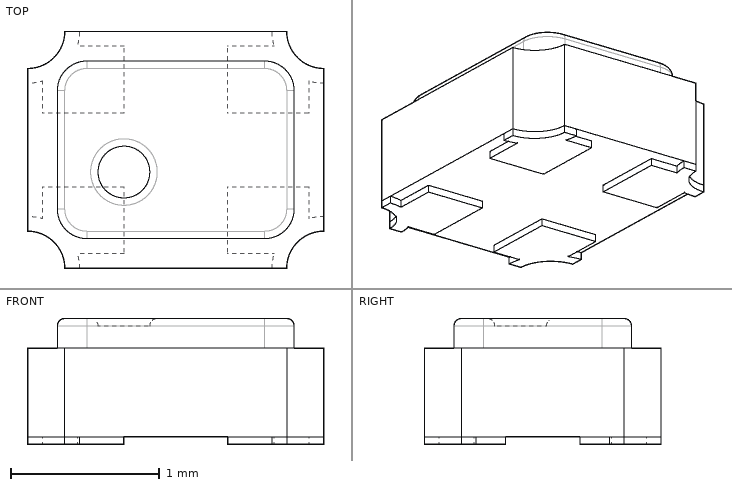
import cadquery as cq

housing_length = 2.0
housing_width = 1.6
housing_height = 0.6
notch_radius = 0.25

lid_margin = 0.2
lid_height = 0.2
lid_corner_radius = 0.2
lid_edge_radius = 0.05
lid_length = housing_length - 2 * lid_margin
lid_width = housing_width - 2 * lid_margin

dimple_x = -0.35
dimple_y = -0.15
dimple_floor_radius = 0.175
dimple_depth = 0.05
dimple_rim_radius = dimple_floor_radius + dimple_depth

pad_thickness = 0.05
pad_reach_x = 0.65
pad_reach_y = 0.55
pad_inset = 0.1
pad_ring_radius = notch_radius + pad_inset

housing_top = pad_thickness + housing_height
lid_top = housing_top + lid_height

corner_signs = [(-1, -1), (1, -1), (1, 1), (-1, 1)]
corners = [(sx * housing_length / 2, sy * housing_width / 2) for sx, sy in corner_signs]


def make_dimple():
    """Cutter with a flat floor and a convex quarter-round wall up to the rim."""
    sag = dimple_depth * 0.5**0.5
    floor_z = lid_top - dimple_depth
    profile = (
        cq.Workplane("XZ")
        .moveTo(0, floor_z)
        .lineTo(dimple_floor_radius, floor_z)
        .threePointArc((dimple_rim_radius - sag, floor_z + sag), (dimple_rim_radius, lid_top))
        .lineTo(0, lid_top)
        .close()
    )
    return profile.revolve(360, (0, 0, 0), (0, 1, 0)).translate((dimple_x, dimple_y, 0))


def make_housing():
    """Notched block and its lid as one solid."""
    block = (
        cq.Workplane("XY", origin=(0, 0, pad_thickness))
        .rect(housing_length, housing_width)
        .extrude(housing_height)
    )
    notches = (
        cq.Workplane("XY", origin=(0, 0, pad_thickness))
        .pushPoints(corners)
        .circle(notch_radius)
        .extrude(housing_height)
    )
    lid = (
        cq.Workplane("XY", origin=(0, 0, housing_top))
        .rect(lid_length, lid_width)
        .extrude(lid_height)
        .edges("|Z")
        .fillet(lid_corner_radius)
        .faces(">Z")
        .edges()
        .fillet(lid_edge_radius)
    )
    return block.cut(notches).union(lid).cut(make_dimple())


def make_pad(sign_x, sign_y):
    """Inset rectangular pad joined to a ring that follows the corner notch."""
    corner_x = sign_x * housing_length / 2
    corner_y = sign_y * housing_width / 2
    at_corner = cq.Workplane("XY", origin=(corner_x, corner_y, 0))
    ring = at_corner.circle(pad_ring_radius).extrude(pad_thickness)
    notch = at_corner.circle(notch_radius).extrude(pad_thickness)
    footprint = (
        cq.Workplane("XY")
        .rect(housing_length, housing_width)
        .extrude(pad_thickness)
    )
    plate_length = pad_reach_x - pad_inset
    plate_width = pad_reach_y - pad_inset
    plate_x = corner_x - sign_x * (pad_inset + plate_length / 2)
    plate_y = corner_y - sign_y * (pad_inset + plate_width / 2)
    plate = (
        cq.Workplane("XY", origin=(plate_x, plate_y, 0))
        .rect(plate_length, plate_width)
        .extrude(pad_thickness)
    )
    return ring.intersect(footprint).union(plate).cut(notch)


housing = make_housing()
pads = [make_pad(sign_x, sign_y) for sign_x, sign_y in corner_signs]

result = cq.Compound.makeCompound([housing.solids().val(), *[pad.solids().val() for pad in pads]])